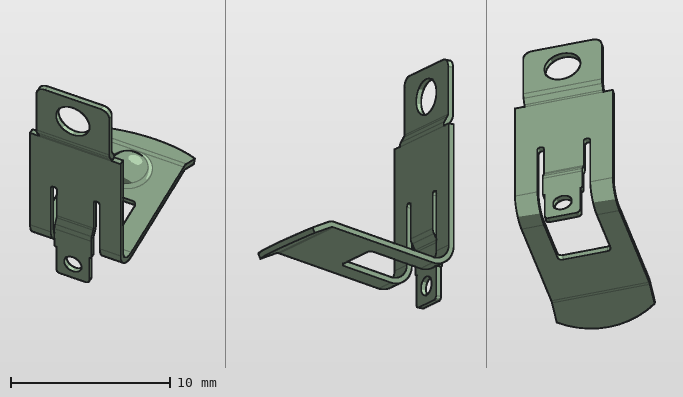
import cadquery as cq
import math

thickness = 0.37
joggle_offset = 0.35
joggle_angle = 30
tight_inner_radius = 0.28

total_height = 15.57
plate_width = 6.35
plate_top = 11.0
plate_bottom = 2.99
mount_width = 5.1
mount_corner_radius = 0.59
mount_hole_diameter = 2.34
mount_hole_height = 13.65

arm_rise_angle = 8
arm_inner_radius = 1.03
arm_length = 7.47
tip_fall_angle = 26
tip_length = 2.27
tip_arc_sagitta = 0.93
window_length = 3.74
window_corner_radius = 0.28

dome_position = 5.9
dome_height = 1.05
dome_sphere_radius = 1.39
dome_base_radius = 1.55

opening_width = 3.43
slot_top = 6.99
terminal_width = 2.57
terminal_bend_top = 4.6
terminal_tip_width = 2.3
terminal_shoulder_height = 2.2
terminal_shoulder_radius = 0.12
terminal_corner_radius = 0.25
terminal_hole_diameter = 1.21
terminal_hole_height = 1.18

tight_mid_radius = tight_inner_radius + thickness / 2
tab_mid_y = thickness / 2
plate_mid_y = tab_mid_y + joggle_offset
joggle_sin = math.sin(math.radians(joggle_angle))
joggle_cos = math.cos(math.radians(joggle_angle))
joggle_straight = (joggle_offset - 2 * tight_mid_radius * (1 - joggle_cos)) / joggle_sin
joggle_height = 2 * tight_mid_radius * joggle_sin + joggle_straight * joggle_cos
through = 31.14


def bent_strip(width, start_y, start_z, steps):
    """Sheet strip starting downward; each step is a straight length, then a turn towards +Y.

    A step is (length, turn in degrees, inner bend radius).
    """

    def point(y, z, heading, offset):
        return y + offset * math.cos(heading), z + offset * math.sin(heading)

    y, z, heading = start_y, start_z, 0.0
    half = thickness / 2
    sides = {half: [], -half: []}
    for length, turn, inner_radius in steps:
        next_y = y + length * math.sin(heading)
        next_z = z - length * math.cos(heading)
        for offset, moves in sides.items():
            moves.append(("line", point(next_y, next_z, heading, offset)))
        y, z = next_y, next_z
        if turn == 0:
            continue
        center_offset = math.copysign(inner_radius + half, turn)
        center = point(y, z, heading, center_offset)
        middle = heading + math.radians(turn) / 2
        heading += math.radians(turn)
        for offset, moves in sides.items():
            to_sheet = offset - center_offset
            moves.append(("arc", point(*center, middle, to_sheet), point(*center, heading, to_sheet)))
        y, z = point(*center, heading, -center_offset)

    outline = cq.Workplane("YZ").moveTo(*point(start_y, start_z, 0, half))
    for kind, *points in sides[half]:
        outline = outline.lineTo(*points[0]) if kind == "line" else outline.threePointArc(*points)
    back = sides[-half]
    outline = outline.lineTo(*back[-1][-1])
    starts = [point(start_y, start_z, 0, -half)] + [move[-1] for move in back[:-1]]
    for (kind, *points), start in zip(reversed(back), reversed(starts)):
        if kind == "line":
            outline = outline.lineTo(*start)
        else:
            outline = outline.threePointArc(points[0], start)
    return outline.close().extrude(width / 2, both=True)


def block(x_range, y_range, z_range):
    (x0, x1), (y0, y1), (z0, z1) = x_range, y_range, z_range
    return cq.Workplane("XY").box(x1 - x0, y1 - y0, z1 - z0, centered=False).translate((x0, y0, z0))


def hole_along_y(x, z, diameter):
    return cq.Workplane("XZ").center(x, z).circle(diameter / 2).extrude(through / 2, both=True)


arm_rise = math.radians(arm_rise_angle)
bend_center_y = plate_mid_y + thickness / 2 + arm_inner_radius
bend_end_y = bend_center_y + arm_inner_radius * math.sin(arm_rise)
bend_end_z = plate_bottom - arm_inner_radius * math.cos(arm_rise)
arm_plane = cq.Plane(
    origin=(0, bend_end_y, bend_end_z),
    xDir=(1, 0, 0),
    normal=(0, -math.sin(arm_rise), math.cos(arm_rise)),
)

tip_fall = math.radians(tip_fall_angle)
tip_outer_radius = tight_inner_radius + thickness
tip_start = arm_plane.toWorldCoords((0, arm_length, 0))
tip_plane = cq.Plane(
    origin=(
        0,
        tip_start.y + tip_outer_radius * (math.sin(arm_rise) + math.sin(tip_fall)),
        tip_start.z + tip_outer_radius * (math.cos(tip_fall) - math.cos(arm_rise)),
    ),
    xDir=(1, 0, 0),
    normal=(0, math.sin(tip_fall), math.cos(tip_fall)),
)


def main_strip():
    """Mounting tab, joggle, plate, large bend, arm and tip in one strip."""
    strip = bent_strip(plate_width, tab_mid_y, total_height, [
        (total_height - plate_top - joggle_height, joggle_angle, tight_inner_radius),
        (joggle_straight, -joggle_angle, tight_inner_radius),
        (plate_top - plate_bottom, 90 + arm_rise_angle, arm_inner_radius),
        (arm_length, -(arm_rise_angle + tip_fall_angle), tight_inner_radius),
        (tip_length, 0, 0),
    ])
    for inner, outer in ((-plate_width, -mount_width / 2), (mount_width / 2, plate_width)):
        strip = strip.cut(block((inner, outer), (-through, through), (plate_top, through)))
    strip = strip.edges("|Y and >Z").fillet(mount_corner_radius)
    return strip.cut(hole_along_y(0, mount_hole_height, mount_hole_diameter))


def tip_trim():
    """Material beyond the rounded free edge of the tip."""
    half = plate_width / 2
    side = tip_length - tip_arc_sagitta
    return (
        cq.Workplane(tip_plane)
        .moveTo(-half, side)
        .threePointArc((0, tip_length), (half, side))
        .lineTo(half, 2 * tip_length)
        .lineTo(-half, 2 * tip_length)
        .close()
        .extrude(2 * thickness, both=True)
    )


def opening():
    """Opening through plate, large bend and arm, with round-topped slots beside the tab."""
    half = opening_width / 2
    slot_width = (opening_width - terminal_width) / 2
    slot_round_height = slot_top - slot_width / 2
    cutter = block((-half, half), (0, bend_end_y), (0, slot_round_height))
    for side in (-1, 1):
        cutter = cutter.union(
            hole_along_y(side * (half - slot_width / 2), slot_round_height, slot_width)
        )
    overlap = 2 * thickness
    window = (
        cq.Workplane(arm_plane)
        .center(0, (window_length - overlap) / 2)
        .rect(opening_width, window_length + overlap)
        .extrude(2 * thickness, both=True)
        .edges(cq.selectors.ParallelDirSelector(arm_plane.zDir))
        .edges(">Y")
        .fillet(window_corner_radius)
    )
    return cutter.union(window)


def terminal_tab():
    """Tongue in the plate that joggles forward and ends in a narrower drilled tip."""
    strip = bent_strip(terminal_width, plate_mid_y, slot_top, [
        (slot_top - terminal_bend_top, -joggle_angle, tight_inner_radius),
        (joggle_straight, joggle_angle, tight_inner_radius),
        (terminal_bend_top - joggle_height, 0, 0),
    ])
    for inner, outer in (
        (-terminal_width, -terminal_tip_width / 2),
        (terminal_tip_width / 2, terminal_width),
    ):
        strip = strip.cut(block((inner, outer), (-through, through), (0, terminal_shoulder_height)))
    margin = terminal_shoulder_radius / 2
    shoulder = cq.selectors.BoxSelector(
        (-terminal_width, -thickness, terminal_shoulder_height - margin),
        (terminal_width, 2 * thickness, terminal_shoulder_height + margin),
    )
    strip = strip.edges(shoulder).edges("|Y").edges("<X or >X").fillet(terminal_shoulder_radius)
    strip = strip.edges("|Y and <Z").fillet(terminal_corner_radius)
    return strip.cut(hole_along_y(0, terminal_hole_height, terminal_hole_diameter))


def contact_dome():
    """Spherical cap with a concave fillet at its foot, revolved about the arm normal."""
    center_height = dome_height - dome_sphere_radius
    foot_radius = (
        (dome_base_radius**2 + center_height**2 - dome_sphere_radius**2)
        / (2 * (dome_sphere_radius + center_height))
    )
    angle = math.atan2(foot_radius - center_height, dome_base_radius)
    cap_angle = (angle + math.pi / 2) / 2
    foot_angle = (angle + math.pi + 3 * math.pi / 2) / 2

    def on_sphere(a):
        return dome_sphere_radius * math.cos(a), center_height + dome_sphere_radius * math.sin(a)

    foot_middle = (
        dome_base_radius + foot_radius * math.cos(foot_angle),
        foot_radius + foot_radius * math.sin(foot_angle),
    )
    root = -thickness / 2
    profile_plane = cq.Plane(
        origin=arm_plane.toWorldCoords((0, dome_position, 0)),
        xDir=(1, 0, 0),
        normal=-arm_plane.yDir,
    )
    return (
        cq.Workplane(profile_plane)
        .moveTo(0, root)
        .lineTo(dome_base_radius, root)
        .lineTo(dome_base_radius, 0)
        .threePointArc(foot_middle, on_sphere(angle))
        .threePointArc(on_sphere(cap_angle), (0, dome_height))
        .close()
        .revolve(360, (0, 0), (0, 1))
    )


result = main_strip().cut(tip_trim()).cut(opening()).union(terminal_tab()).union(contact_dome())